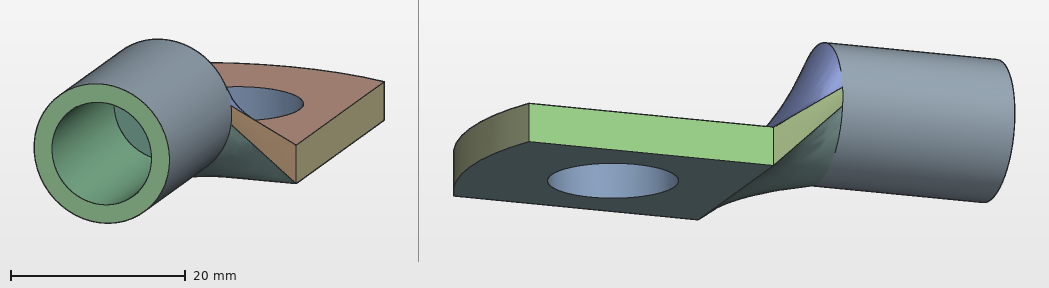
import cadquery as cq
import math

total_length = 63.4
palm_width = 25.0
palm_thickness = 4.55
total_height = 18.5

barrel_diameter = 16.5
bore_diameter = 12.1
barrel_length = 21.0
barrel_radius = barrel_diameter / 2
barrel_axis_z = total_height - barrel_radius

transition_length = 10.0
side_strip_height = 2.2
palm_start = barrel_length + transition_length
mid_skin_heights = (1.0, 9.3)
STRAIGHT_TOLERANCE = 6.34e-07

stud_hole_diameter = 15.0
stud_hole_y = 45.95
tip_rise = 2.6


def make_barrel():
    """Solid round barrel along Y."""
    return (
        cq.Workplane("XZ", origin=(0, 0, barrel_axis_z))
        .circle(barrel_radius)
        .extrude(-barrel_length)
    )


def make_palm():
    """Flat palm with an arched tip and the stud hole."""
    half_width = palm_width / 2
    corner_y = total_length - tip_rise
    stud_hole = (
        cq.Workplane("XY")
        .center(0, stud_hole_y)
        .circle(stud_hole_diameter / 2)
        .extrude(palm_thickness)
    )
    return (
        cq.Workplane("XY")
        .moveTo(-half_width, palm_start)
        .lineTo(half_width, palm_start)
        .lineTo(half_width, corner_y)
        .threePointArc((0, total_length), (-half_width, corner_y))
        .close()
        .extrude(palm_thickness)
        .cut(stud_hole)
    )


def section_wire(y, half_width, corner_heights, skin_heights, side_x):
    """Closed cross-section at y with its lower, right, upper and left edges.

    corner_heights and skin_heights hold the lower and upper values, the latter taken at X = 0.
    side_x is the half width reached halfway up each side.
    """
    low, high = corner_heights
    middle = (low + high) / 2
    corners = [
        cq.Vector(-half_width, y, low),
        cq.Vector(half_width, y, low),
        cq.Vector(half_width, y, high),
        cq.Vector(-half_width, y, high),
    ]
    through_points = [
        cq.Vector(0, y, skin_heights[0]),
        cq.Vector(side_x, y, middle),
        cq.Vector(0, y, skin_heights[1]),
        cq.Vector(-side_x, y, middle),
    ]
    edges = []
    for index, through in enumerate(through_points):
        start = corners[index]
        end = corners[(index + 1) % len(corners)]
        if (through - (start + end) / 2).Length < STRAIGHT_TOLERANCE:
            edges.append(cq.Edge.makeLine(start, end))
        else:
            edges.append(cq.Edge.makeThreePointArc(start, through, end))
    return cq.Wire.assembleEdges(edges)


def make_transition():
    """Smooth blend from the round barrel to the rectangular palm section."""
    half_strip = side_strip_height / 2
    strip_x = math.sqrt(barrel_radius**2 - half_strip**2)
    palm_half_width = palm_width / 2
    palm_heights = (0, palm_thickness)
    strip_heights = (barrel_axis_z - half_strip, barrel_axis_z + half_strip)
    barrel_heights = (barrel_axis_z - barrel_radius, barrel_axis_z + barrel_radius)

    mid_half_width = (strip_x + palm_half_width) / 2
    mid_side_x = (barrel_radius + palm_half_width) / 2
    mid_corner_heights = [(palm + strip) / 2 for palm, strip in zip(palm_heights, strip_heights)]
    mid_y = barrel_length + transition_length / 2

    sections = [
        section_wire(palm_start, palm_half_width, palm_heights, palm_heights, palm_half_width),
        section_wire(mid_y, mid_half_width, mid_corner_heights, mid_skin_heights, mid_side_x),
        section_wire(barrel_length, strip_x, strip_heights, barrel_heights, barrel_radius),
    ]
    return cq.Workplane(obj=cq.Solid.makeLoft(sections))


bore = (
    cq.Workplane("XZ", origin=(0, 0, barrel_axis_z))
    .circle(bore_diameter / 2)
    .extrude(-barrel_length)
)

result = make_barrel().union(make_transition()).union(make_palm()).cut(bore)